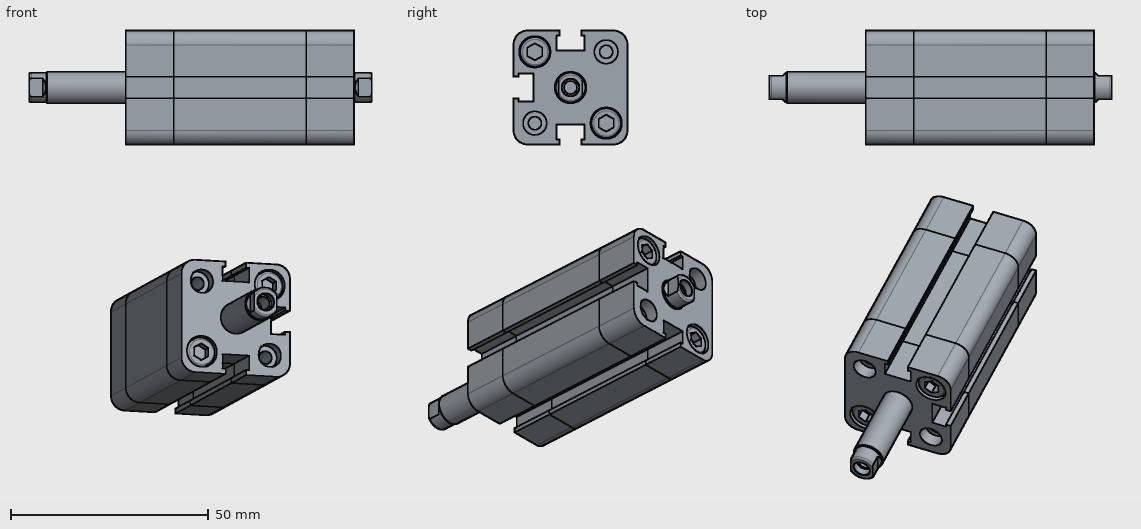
import cadquery as cq
import math


housing_side = 29.0
corner_radius = 3.65
front_face_x = 24.5
rear_face_x = 82.5
cover_length = 12.2
barrel_length = rear_face_x - front_face_x - 2 * cover_length

slot_mouth_width = 5.5
slot_inner_width = 7.05
slot_lip = 1.3
slot_depth = 5.05

fastener_offset = 9.05
counterbore_radius = 4.0
counterbore_depth = 4.0
screw_head_radius = 3.7
screw_head_fillet = 0.5
screw_head_recess = 0.5
hex_across_flats = 3.7
hex_depth = 2.6
mount_hole_radius = 3.0
mount_hole_depth = 3.5
pilot_hole_radius = 1.65

rod_length = 87.0
rod_radius = 4.0
shoulder_chamfer = 0.3
neck_radius = 3.785
neck_length = 4.35
neck_fillet = 0.5
flat_width = 6.0
flat_runout = 0.9
rod_countersink = 0.1
rod_hole_radius = 2.2
rod_hole_depth = 2.1
rod_pilot_radius = 1.65
rod_pilot_depth = 8.7


def cylinder(radius, x_start, length, y=0.0, z=0.0):
    """Solid cylinder along +X."""
    return cq.Workplane("YZ", origin=(x_start, y, z)).circle(radius).extrude(length)


def slot_cutter(x_start, length):
    """T-slot that opens through the top side."""
    top = housing_side / 2
    mouth = slot_mouth_width / 2
    inner = slot_inner_width / 2
    lip_z = top - slot_lip
    floor_z = top - slot_depth
    return (
        cq.Workplane("YZ", origin=(x_start, 0, 0))
        .moveTo(-mouth, top)
        .lineTo(-mouth, lip_z)
        .lineTo(-inner, lip_z)
        .lineTo(-inner, floor_z)
        .lineTo(inner, floor_z)
        .lineTo(inner, lip_z)
        .lineTo(mouth, lip_z)
        .lineTo(mouth, top)
        .close()
        .extrude(length)
    )


def housing_section(x_start, length):
    """Length of the rounded square profile with its T-slots and the rod bore."""
    section = (
        cq.Workplane("YZ", origin=(x_start, 0, 0))
        .rect(housing_side, housing_side)
        .extrude(length)
        .edges("|X")
        .fillet(corner_radius)
    )
    for angle in (0, 90, 180):
        section = section.cut(slot_cutter(x_start, length).rotate((0, 0, 0), (1, 0, 0), angle))
    return section.cut(cylinder(rod_radius, x_start, length))


def screw_gap_cutter(y, z):
    """Counterbore opening at X = 0, less the socket head that stands in it."""
    head = cylinder(screw_head_radius, screw_head_recess, counterbore_depth - screw_head_recess, y, z)
    head = head.faces("<X").edges().fillet(screw_head_fillet)
    hex_radius = hex_across_flats / math.sqrt(3)
    socket = (
        cq.Workplane("YZ", origin=(screw_head_recess, y, z))
        .polygon(6, 2 * hex_radius)
        .extrude(hex_depth)
        .rotate((0, y, z), (1, y, z), 90)
    )
    return cylinder(counterbore_radius, 0, counterbore_depth, y, z).cut(head.cut(socket))


def cover():
    """Front cover with its outer face at X = 0."""
    body = housing_section(0, cover_length)
    for side in (-1, 1):
        offset = side * fastener_offset
        body = body.cut(screw_gap_cutter(-offset, offset))
        body = body.cut(cylinder(mount_hole_radius, 0, mount_hole_depth, offset, offset))
        body = body.cut(cylinder(pilot_hole_radius, 0, cover_length, offset, offset))
    return body


def rod_end_hole():
    """Countersunk, stepped round hole in a rod end at X = 0."""
    return (
        cq.Workplane("XY")
        .lineTo(0, rod_hole_radius + rod_countersink)
        .lineTo(rod_countersink, rod_hole_radius)
        .lineTo(rod_hole_depth, rod_hole_radius)
        .lineTo(rod_hole_depth, rod_pilot_radius)
        .lineTo(rod_pilot_depth, rod_pilot_radius)
        .lineTo(rod_pilot_depth, 0)
        .close()
        .revolve(360, (0, 0, 0), (1, 0, 0))
    )


def flat_cutter(side):
    """Removes one side of a neck at X = 0; the flat runs out at 45 degrees."""
    flat_y = side * flat_width / 2
    outer_y = side * (flat_width / 2 + 2 * flat_runout)
    flat_end = neck_length - flat_runout
    return (
        cq.Workplane("XY", origin=(0, 0, -rod_radius))
        .moveTo(0, flat_y)
        .lineTo(flat_end, flat_y)
        .lineTo(flat_end + 2 * flat_runout, outer_y)
        .lineTo(0, outer_y)
        .close()
        .extrude(2 * rod_radius)
    )


def rod_half():
    """Half of the rod, with its tip at X = 0."""
    neck = cylinder(neck_radius, 0, neck_length).faces("<X").edges().fillet(neck_fillet)
    shank = cylinder(rod_radius, neck_length, rod_length / 2 - neck_length)
    shank = shank.faces("<X").chamfer(shoulder_chamfer)
    half = neck.union(shank).cut(rod_end_hole())
    for side in (-1, 1):
        half = half.cut(flat_cutter(side))
    return half


def facing_rear(body, tip_x):
    """Mirrors a body built from X = 0 so that its outer end lies at tip_x."""
    return body.mirror("YZ").translate((tip_x, 0, 0))


front_cover = cover().translate((front_face_x, 0, 0))
barrel = housing_section(front_face_x + cover_length, barrel_length)
rear_cover = facing_rear(cover(), rear_face_x)
piston_rod = rod_half().union(facing_rear(rod_half(), rod_length))

result = cq.Compound.makeCompound(
    [front_cover.val(), barrel.val(), rear_cover.val(), piston_rod.val()]
)